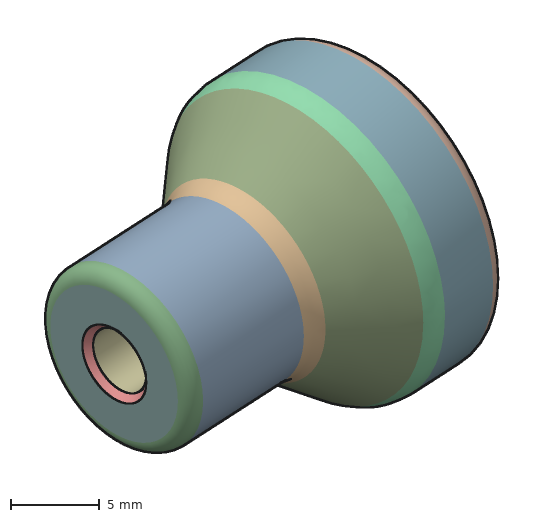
import cadquery as cq
import math

length = 21.0
head_radius = 10.5
shaft_radius = 12.0 / 2
rim_length = 5.67
cone_angle = 40.0

edge_radius = 1.0
blend_radius = 2.0

hole_diameter = 4.14
hole_mouth_diameter = 5.0
hole_depth = 10.5
drill_point_angle = 120.0

back_y = length / 2
tip_y = -length / 2
cone_back_y = back_y - rim_length
cone_length = (head_radius - shaft_radius) / math.tan(math.radians(cone_angle))
cone_front_y = cone_back_y - cone_length


def circle_at(y):
    """Select the circular edge whose centre is on the axis at y."""
    slack = 0.02
    return cq.selectors.BoxSelector((-length, y - slack, -length), (length, y + slack, length))


def make_body():
    """Head, cone and shaft with every corner rounded."""
    body = (
        cq.Workplane("XY")
        .moveTo(0, back_y)
        .lineTo(head_radius, back_y)
        .lineTo(head_radius, cone_back_y)
        .lineTo(shaft_radius, cone_front_y)
        .lineTo(shaft_radius, tip_y)
        .lineTo(0, tip_y)
        .close()
        .revolve(360, (0, 0, 0), (0, 1, 0))
    )
    corners = (
        (back_y, edge_radius),
        (cone_back_y, blend_radius),
        (cone_front_y, blend_radius),
        (tip_y, edge_radius),
    )
    for corner_y, fillet_radius in corners:
        body = body.edges(circle_at(corner_y)).fillet(fillet_radius)
    return body


def make_hole():
    """Drilled hole with a 45 degree countersunk mouth and a conical bottom."""
    hole_radius = hole_diameter / 2
    mouth_radius = hole_mouth_diameter / 2
    mouth_depth = mouth_radius - hole_radius
    point_length = hole_radius / math.tan(math.radians(drill_point_angle / 2))
    return (
        cq.Workplane("XY")
        .moveTo(0, tip_y)
        .lineTo(mouth_radius, tip_y)
        .lineTo(hole_radius, tip_y + mouth_depth)
        .lineTo(hole_radius, tip_y + hole_depth)
        .lineTo(0, tip_y + hole_depth + point_length)
        .close()
        .revolve(360, (0, 0, 0), (0, 1, 0))
    )


result = make_body().cut(make_hole())